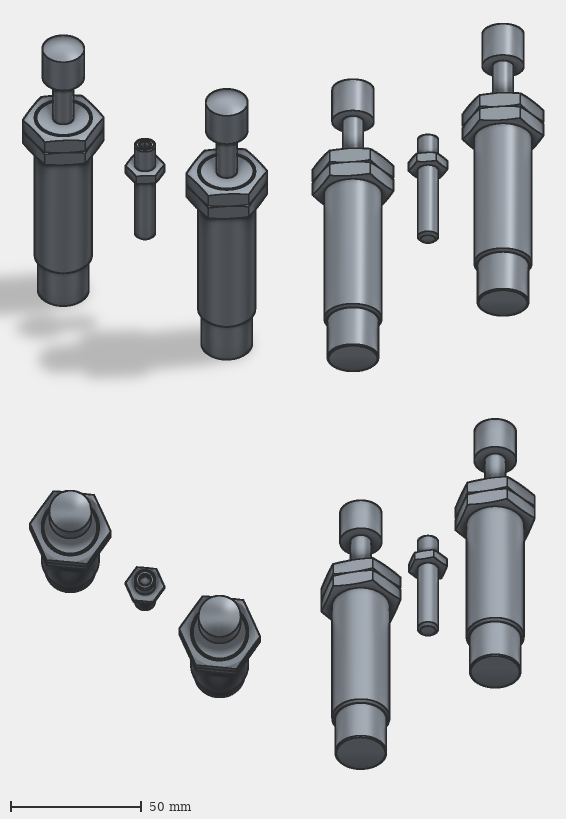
import cadquery as cq
import math

TOTAL_HEIGHT = 122.5
ABSORBER_PITCH = 70.1

BODY_DIAMETER = 22.0
BODY_TOP = 86.1
BODY_TOP_DIAMETER = 20.3
BODY_TOP_CHAMFER = (BODY_DIAMETER - BODY_TOP_DIAMETER) / 2
BASE_DIAMETER = 19.6
BASE_HEIGHT = 16.9
BASE_CHAMFER = 0.5
SHOULDER_CHAMFER = 1.0
ROD_DIAMETER = 8.0
CAP_DIAMETER = 16.0
CAP_HEIGHT = 16.0
DOME_HEIGHT = 2.0

LOCK_NUT_FLATS = 27.0
LOCK_NUT_BORE = BODY_TOP_DIAMETER
LOCK_NUT_HEIGHT = 6.1
LOCK_NUT_COUNT = 2
LOCK_NUT_TOP = BODY_TOP

SCREW_DIAMETER = 8.0
SCREW_TOP = BODY_TOP
SCREW_LENGTH = 45.0
SCREW_TOP_DIAMETER = 6.6
SCREW_TOP_BEVEL_HEIGHT = 0.4
SCREW_TIP_CHAMFER = 1.1
SOCKET_FLATS = 4.0
SOCKET_DEPTH = 4.9
COUNTERSINK_DEPTH = 0.4
SCREW_NUT_FLATS = 13.0
SCREW_NUT_HEIGHT = 4.0
SCREW_NUT_BOTTOM = 72.0

NUT_BEVEL_ANGLE = 15.0

HALF_SECTOR = 30.0
FLATS_PER_CORNERS = math.cos(math.radians(HALF_SECTOR))


def hex_prism(flats, height):
    """Hexagonal prism on Z = 0 with two corners on the Y axis."""
    corners = flats / FLATS_PER_CORNERS
    prism = cq.Workplane("XY").polygon(6, corners).extrude(height)
    return prism.rotate((0, 0, 0), (0, 0, 1), HALF_SECTOR)


def bevel_envelope(flats, height):
    """Turned blank whose conical ends bevel the corners of a hexagon."""
    face_radius = flats / 2
    rim_radius = face_radius / FLATS_PER_CORNERS
    drop = (rim_radius - face_radius) * math.tan(math.radians(NUT_BEVEL_ANGLE))
    return (
        cq.Workplane("XZ")
        .moveTo(0, 0)
        .lineTo(face_radius, 0)
        .lineTo(rim_radius, drop)
        .lineTo(rim_radius, height - drop)
        .lineTo(face_radius, height)
        .lineTo(0, height)
        .close()
        .revolve(360, (0, 0, 0), (0, 1, 0))
    )


def make_nut(flats, height, bore_diameter):
    """Hexagon nut standing on Z = 0, bevelled at both ends, with a plain bore."""
    bore = cq.Workplane("XY").circle(bore_diameter / 2).extrude(height)
    return hex_prism(flats, height).intersect(bevel_envelope(flats, height)).cut(bore)


def make_lock_nut():
    """Lock nut whose bore is countersunk at 45 degrees to the body diameter at its upper mouth."""
    bore_radius = LOCK_NUT_BORE / 2
    mouth_radius = BODY_DIAMETER / 2
    depth = mouth_radius - bore_radius
    cone_base = cq.Vector(0, 0, LOCK_NUT_HEIGHT - depth)
    countersink = cq.Workplane(cq.Solid.makeCone(bore_radius, mouth_radius, depth, pnt=cone_base))
    return make_nut(LOCK_NUT_FLATS, LOCK_NUT_HEIGHT, LOCK_NUT_BORE).cut(countersink)


def make_absorber():
    """Stepped cylinder, piston rod and domed cap turned as one body."""
    body_radius = BODY_DIAMETER / 2
    base_radius = BASE_DIAMETER / 2
    rod_radius = ROD_DIAMETER / 2
    cap_radius = CAP_DIAMETER / 2
    cap_bottom = TOTAL_HEIGHT - CAP_HEIGHT
    dome_edge = TOTAL_HEIGHT - DOME_HEIGHT
    dome_radius = (cap_radius**2 + DOME_HEIGHT**2) / (2 * DOME_HEIGHT)
    mid_radius = cap_radius / 2
    mid_height = TOTAL_HEIGHT - dome_radius + math.sqrt(dome_radius**2 - mid_radius**2)
    return (
        cq.Workplane("XZ")
        .moveTo(0, 0)
        .lineTo(base_radius - BASE_CHAMFER, 0)
        .lineTo(base_radius, BASE_CHAMFER)
        .lineTo(base_radius, BASE_HEIGHT)
        .lineTo(body_radius - SHOULDER_CHAMFER, BASE_HEIGHT)
        .lineTo(body_radius, BASE_HEIGHT + SHOULDER_CHAMFER)
        .lineTo(body_radius, BODY_TOP - BODY_TOP_CHAMFER)
        .lineTo(BODY_TOP_DIAMETER / 2, BODY_TOP)
        .lineTo(rod_radius, BODY_TOP)
        .lineTo(rod_radius, cap_bottom)
        .lineTo(cap_radius, cap_bottom)
        .lineTo(cap_radius, dome_edge)
        .threePointArc((mid_radius, mid_height), (0, TOTAL_HEIGHT))
        .close()
        .revolve(360, (0, 0, 0), (0, 1, 0))
    )


def make_socket_cutter():
    """Hexagon with corners on the X axis, countersunk at its mouth, opening upward at Z = 0."""
    hexagon = hex_prism(SOCKET_FLATS, SOCKET_DEPTH).rotate((0, 0, 0), (0, 0, 1), HALF_SECTOR)
    hexagon = hexagon.translate((0, 0, -SOCKET_DEPTH))
    flat_radius = SOCKET_FLATS / 2
    corner_radius = flat_radius / FLATS_PER_CORNERS
    cone_base = cq.Vector(0, 0, -COUNTERSINK_DEPTH)
    countersink = cq.Workplane(cq.Solid.makeCone(flat_radius, corner_radius, COUNTERSINK_DEPTH, pnt=cone_base))
    return hexagon.union(countersink)


def make_screw():
    """Headless stop screw with a countersunk hexagon socket in its upper end."""
    radius = SCREW_DIAMETER / 2
    shank = (
        cq.Workplane("XZ")
        .moveTo(0, 0)
        .lineTo(radius - SCREW_TIP_CHAMFER, 0)
        .lineTo(radius, SCREW_TIP_CHAMFER)
        .lineTo(radius, SCREW_LENGTH - SCREW_TOP_BEVEL_HEIGHT)
        .lineTo(SCREW_TOP_DIAMETER / 2, SCREW_LENGTH)
        .lineTo(0, SCREW_LENGTH)
        .close()
        .revolve(360, (0, 0, 0), (0, 1, 0))
    )
    return shank.cut(make_socket_cutter().translate((0, 0, SCREW_LENGTH)))


absorbers = []
lock_nuts = []
for side in (-1, 1):
    x = side * ABSORBER_PITCH / 2
    absorber = make_absorber().translate((x, 0, 0))
    absorbers.append(absorber.val())
    for level in range(LOCK_NUT_COUNT):
        nut_bottom = LOCK_NUT_TOP - (level + 1) * LOCK_NUT_HEIGHT
        lock_nut = make_lock_nut().translate((x, 0, nut_bottom)).cut(absorber)
        lock_nuts.extend(lock_nut.solids().vals())

stop_screw = make_screw().translate((0, 0, SCREW_TOP - SCREW_LENGTH))
screw_nut = make_nut(SCREW_NUT_FLATS, SCREW_NUT_HEIGHT, SCREW_DIAMETER)
screw_nut = screw_nut.translate((0, 0, SCREW_NUT_BOTTOM))

result = cq.Compound.makeCompound([*absorbers, *lock_nuts, *stop_screw.solids().vals(), *screw_nut.vals()])